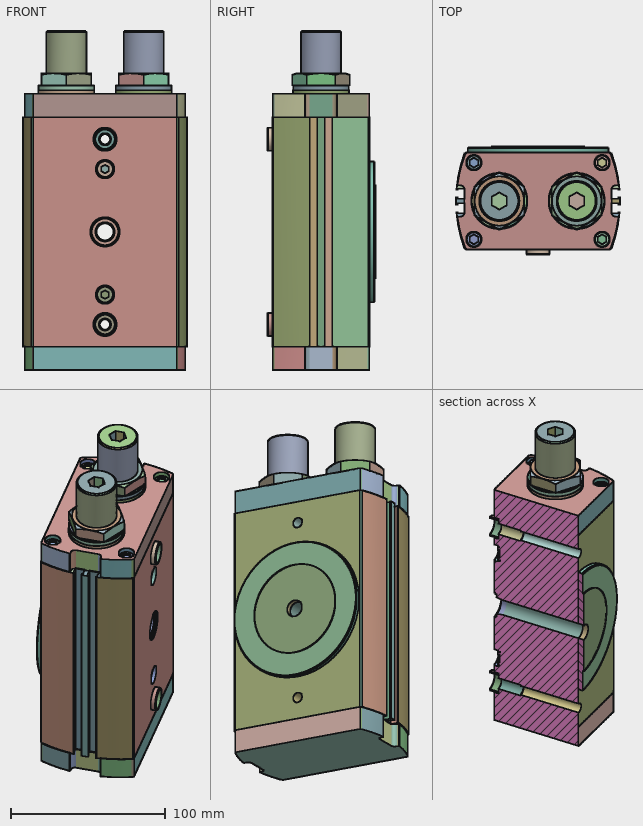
import cadquery as cq
import math


HOUSING_HEIGHT = 178.5
CAP_HEIGHT = 15.0
HALF_WIDTH = 53.0
HALF_DEPTH = 31.3
FACE_HALF_WIDTH = 46.2
BEVEL_WIDTH = 1.3
BODY_BEVEL_DEPTH = 0.7
CAP_BEVEL_DEPTH = 1.3
CAP_SIDE_INSET = 0.5
CAP_FACE_INSET = 0.1
MID_HEIGHT = HOUSING_HEIGHT / 2

CHANNEL_FLOOR_X = 47.5
SLOT_FLOOR_X = 46.8
SLOT_MOUTH_WIDTH = 14.7
SLOT_WIDTH = 15.8
RIB_HEAD_WIDTH = 4.5
RIB_STEM_WIDTH = 3.0
LIP_THICKNESS = 1.0
CAP_CHANNEL_WIDTH = 20.1
CAP_CHANNEL_FILLET = 2.6
CAP_MOUTH_X = 51.5

CUT_CLEARANCE = 2.2

CAP_SCREW_X = 41.4
CAP_SCREW_Y = 24.7
CAP_SCREW_BORE = 10.0
CAP_SCREW_HEAD = 9.0
CAP_SCREW_HEX = 5.5

ROD_X = 25.0
ROD_TOP = 219.0
ROD_DIAMETER = 26.0
ROD_CHAMFER = 0.9
ROD_HEX = 9.6
ROD_HEX_DEPTH = 8.8
LOWER_WASHER_DIAMETER = 36.3
UPPER_WASHER_DIAMETER = 36.1
WASHER_SEAM_Z = 180.5
WASHER_TOP = 183.7
WASHER_CHAMFER = 0.33
NUT_FLATS = 32.2
NUT_TOP = 191.5
NUT_CHAMFER_HEIGHT = 1.0
NUT_FACE_DIAMETER = 31.7

SLEEVE_OFFSET_Z = 59.8
SLEEVE_OUTER = 15.0
SLEEVE_INNER = 12.5
SLEEVE_PROTRUSION = 3.3
SLEEVE_SEAT_DEPTH = 3.3
SLEEVE_CHAMFER = 0.5
MOUNT_THREAD = 7.9
MOUNT_HOLE = 6.5
MOUNT_THREAD_DEPTH = 19.7

FRONT_SCREW_OFFSET_Z = 40.5
FRONT_SCREW_MOUTH = 12.0
FRONT_SCREW_BORE = 10.5
FRONT_SCREW_HEAD = 10.0
FRONT_SCREW_HEX = 4.8

SCREW_BORE_DEPTH = 4.4
SCREW_HEAD_HEIGHT = 1.8
SCREW_HEX_DEPTH = 1.3

CENTRE_MOUTH = 19.0
CENTRE_MOUTH_DEPTH = 0.9
CENTRE_SEAT = 17.0
CENTRE_SEAT_DEPTH = 1.8
CENTRE_TAPER_MOUTH = 12.5
CENTRE_TAPER_LENGTH = 4.4
CENTRE_BORE = 11.0

FLANGE_DIAMETER = 91.0
FLANGE_THICKNESS = 3.3
FLANGE_CHAMFER = 0.7
FLANGE_PAD_DIAMETER = 60.0
FLANGE_PAD_THICKNESS = 0.7

FRONT_Y = -HALF_DEPTH
REAR_Y = HALF_DEPTH


def bulged_prism(side_x, depth, corner_x, bevel_depth, bottom, height):
    """Prism with flat front and rear, sides bulging out to side_x and bevelled corners."""
    corner_y = depth - bevel_depth
    return (
        cq.Workplane("XY", origin=(0, 0, bottom))
        .moveTo(-FACE_HALF_WIDTH, -depth)
        .lineTo(FACE_HALF_WIDTH, -depth)
        .lineTo(corner_x, -corner_y)
        .threePointArc((side_x, 0), (corner_x, corner_y))
        .lineTo(FACE_HALF_WIDTH, depth)
        .lineTo(-FACE_HALF_WIDTH, depth)
        .lineTo(-corner_x, corner_y)
        .threePointArc((-side_x, 0), (-corner_x, -corner_y))
        .close()
        .extrude(height)
    )


def side_block(side, inner_x, outer_x, width, bottom, height):
    """Block centred on Y = 0 between two distances from the middle, on the given side in X."""
    return (
        cq.Workplane("XY", origin=(side * (inner_x + outer_x) / 2, 0, bottom))
        .rect(outer_x - inner_x, width)
        .extrude(height)
    )


def cap_channel(side, bottom):
    """Channel through a cap with rounded floor corners and a flared mouth."""
    half_width = CAP_CHANNEL_WIDTH / 2
    outer_x = HALF_WIDTH + CUT_CLEARANCE
    flare_half_width = half_width + outer_x - CAP_MOUTH_X
    channel = side_block(side, CHANNEL_FLOOR_X, outer_x, CAP_CHANNEL_WIDTH, bottom, CAP_HEIGHT)
    channel = channel.edges("|Z and <X" if side > 0 else "|Z and >X").fillet(CAP_CHANNEL_FILLET)
    flare = (
        cq.Workplane("XY", origin=(0, 0, bottom))
        .polyline([
            (side * CAP_MOUTH_X, -half_width),
            (side * CAP_MOUTH_X, half_width),
            (side * outer_x, flare_half_width),
            (side * outer_x, -flare_half_width),
        ])
        .close()
        .extrude(CAP_HEIGHT)
    )
    return channel.union(flare)


def front_disc(diameter, z, start_depth, end_depth):
    """Cylinder along Y between two depths behind the front face."""
    return (
        cq.Workplane("XZ", origin=(0, FRONT_Y + start_depth, z))
        .circle(diameter / 2)
        .extrude(start_depth - end_depth)
    )


def hexagon(plane, flats, height):
    """Hexagonal prism of a given width across flats, corners pointing along the plane's Y."""
    corners = flats / math.cos(math.pi / 6)
    return plane.transformed(rotate=(0, 0, 90)).polygon(6, corners).extrude(height)


def body_slot(side, height):
    """Undercut slot along one side of the body, leaving a T-shaped rib in its middle."""
    lip_x = HALF_WIDTH - LIP_THICKNESS
    outer_x = HALF_WIDTH + CUT_CLEARANCE
    bottom = CAP_HEIGHT
    mouth = side_block(side, SLOT_FLOOR_X, outer_x, SLOT_MOUTH_WIDTH, bottom, height)
    undercut = side_block(side, SLOT_FLOOR_X, lip_x, SLOT_WIDTH, bottom, height)
    stem = side_block(side, SLOT_FLOOR_X, outer_x, RIB_STEM_WIDTH, bottom, height)
    head = side_block(side, lip_x, outer_x, RIB_HEAD_WIDTH, bottom, height)
    return mouth.union(undercut).cut(stem).cut(head)


def make_shell():
    """Body and two end caps with their side channels."""
    body_height = HOUSING_HEIGHT - 2 * CAP_HEIGHT
    body_corner_x = FACE_HALF_WIDTH + BEVEL_WIDTH
    cap_side_x = HALF_WIDTH - CAP_SIDE_INSET
    cap_depth = HALF_DEPTH - CAP_FACE_INSET
    cap_corner_x = body_corner_x - CAP_SIDE_INSET
    shell = bulged_prism(HALF_WIDTH, HALF_DEPTH, body_corner_x, BODY_BEVEL_DEPTH, CAP_HEIGHT, body_height)
    for side in (-1, 1):
        shell = shell.cut(body_slot(side, body_height))
    for bottom in (0, HOUSING_HEIGHT - CAP_HEIGHT):
        cap = bulged_prism(cap_side_x, cap_depth, cap_corner_x, CAP_BEVEL_DEPTH, bottom, CAP_HEIGHT)
        for side in (-1, 1):
            cap = cap.cut(cap_channel(side, bottom))
        shell = shell.union(cap)
    return shell


def add_cap_screw(housing, x, y):
    """Sunk hexagon socket screw in the top face."""
    floor_z = HOUSING_HEIGHT - SCREW_BORE_DEPTH
    head_z = floor_z + SCREW_HEAD_HEIGHT
    floor = cq.Workplane("XY", origin=(x, y, floor_z))
    socket_floor = cq.Workplane("XY", origin=(x, y, head_z - SCREW_HEX_DEPTH))
    bore = floor.circle(CAP_SCREW_BORE / 2).extrude(SCREW_BORE_DEPTH)
    head = floor.circle(CAP_SCREW_HEAD / 2).extrude(SCREW_HEAD_HEIGHT)
    socket = hexagon(socket_floor, CAP_SCREW_HEX, SCREW_HEX_DEPTH)
    return housing.cut(bore.cut(head)).cut(socket)


def add_front_screw(housing, z):
    """Sunk hexagon socket screw in the front face, with a widened mouth."""
    head_depth = SCREW_BORE_DEPTH - SCREW_HEAD_HEIGHT
    head_plane = cq.Workplane("XZ", origin=(0, FRONT_Y + head_depth, z))
    bore = front_disc(FRONT_SCREW_BORE, z, 0, SCREW_BORE_DEPTH)
    head = front_disc(FRONT_SCREW_HEAD, z, head_depth, SCREW_BORE_DEPTH)
    mouth = front_disc(FRONT_SCREW_MOUTH, z, 0, head_depth)
    socket = hexagon(head_plane, FRONT_SCREW_HEX, -SCREW_HEX_DEPTH)
    return housing.cut(bore.cut(head)).cut(mouth).cut(socket)


def cut_mounting_hole(housing, z):
    """Sleeve seat, thread and through hole."""
    seat = front_disc(SLEEVE_OUTER, z, 0, SLEEVE_SEAT_DEPTH)
    thread = front_disc(MOUNT_THREAD, z, 0, MOUNT_THREAD_DEPTH)
    hole = front_disc(MOUNT_HOLE, z, 0, 2 * HALF_DEPTH)
    return housing.cut(seat).cut(thread).cut(hole)


def cut_centre_hole(housing):
    """Central passage: shallow mouth, seat, taper and through bore."""
    mouth = front_disc(CENTRE_MOUTH, MID_HEIGHT, 0, CENTRE_MOUTH_DEPTH)
    seat = front_disc(CENTRE_SEAT, MID_HEIGHT, 0, CENTRE_SEAT_DEPTH)
    taper = cq.Workplane(
        cq.Solid.makeCone(
            CENTRE_TAPER_MOUTH / 2,
            CENTRE_BORE / 2,
            CENTRE_TAPER_LENGTH,
            cq.Vector(0, FRONT_Y + CENTRE_SEAT_DEPTH, MID_HEIGHT),
            cq.Vector(0, 1, 0),
        )
    )
    bore = front_disc(CENTRE_BORE, MID_HEIGHT, 0, 2 * HALF_DEPTH)
    return housing.cut(mouth).cut(seat).cut(taper).cut(bore)


def make_nut(x):
    """Hexagonal nut with its upper corners turned off."""
    height = NUT_TOP - WASHER_TOP
    corners = NUT_FLATS / math.cos(math.pi / 6)
    base = cq.Workplane("XY", origin=(x, 0, WASHER_TOP))
    blank = base.circle(corners / 2).extrude(height)
    blank = blank.faces(">Z").chamfer(NUT_CHAMFER_HEIGHT, (corners - NUT_FACE_DIAMETER) / 2)
    return hexagon(base, NUT_FLATS, height).intersect(blank)


def make_stop_rod(x):
    """Stop rod with its two washers, lock nut and hexagon socket."""
    lower_washer = (
        cq.Workplane("XY", origin=(x, 0, HOUSING_HEIGHT))
        .circle(LOWER_WASHER_DIAMETER / 2)
        .extrude(WASHER_SEAM_Z - HOUSING_HEIGHT)
    )
    upper_washer = (
        cq.Workplane("XY", origin=(x, 0, WASHER_SEAM_Z))
        .circle(UPPER_WASHER_DIAMETER / 2)
        .extrude(WASHER_TOP - WASHER_SEAM_Z)
        .faces(">Z")
        .chamfer(WASHER_CHAMFER)
    )
    rod = (
        cq.Workplane("XY", origin=(x, 0, HOUSING_HEIGHT))
        .circle(ROD_DIAMETER / 2)
        .extrude(ROD_TOP - HOUSING_HEIGHT)
        .faces(">Z")
        .chamfer(ROD_CHAMFER)
    )
    socket = hexagon(cq.Workplane("XY", origin=(x, 0, ROD_TOP - ROD_HEX_DEPTH)), ROD_HEX, ROD_HEX_DEPTH)
    return lower_washer.union(upper_washer).union(make_nut(x)).union(rod).cut(socket)


def make_housing():
    """Housing with its end caps, screws, holes and stop rods."""
    housing = make_shell()
    for side in (-1, 1):
        for end in (-1, 1):
            housing = add_cap_screw(housing, side * CAP_SCREW_X, end * CAP_SCREW_Y)
        housing = add_front_screw(housing, MID_HEIGHT + side * FRONT_SCREW_OFFSET_Z)
        housing = cut_mounting_hole(housing, MID_HEIGHT + side * SLEEVE_OFFSET_Z)
        housing = housing.union(make_stop_rod(side * ROD_X))
    return cut_centre_hole(housing)


def make_sleeve(z):
    """Centring sleeve seated in the front face and standing proud of it."""
    return (
        front_disc(SLEEVE_OUTER, z, -SLEEVE_PROTRUSION, SLEEVE_SEAT_DEPTH)
        .faces("<Y")
        .chamfer(SLEEVE_CHAMFER)
        .cut(front_disc(SLEEVE_INNER, z, -SLEEVE_PROTRUSION, SLEEVE_SEAT_DEPTH))
    )


def make_flange():
    """Turning flange with a raised central pad and a through bore."""
    plane = cq.Workplane("XZ", origin=(0, REAR_Y, MID_HEIGHT))
    thickness = FLANGE_THICKNESS + FLANGE_PAD_THICKNESS
    disc = plane.circle(FLANGE_DIAMETER / 2).extrude(-FLANGE_THICKNESS)
    disc = disc.faces(">Y").chamfer(FLANGE_CHAMFER)
    pad = plane.circle(FLANGE_PAD_DIAMETER / 2).extrude(-thickness)
    bore = plane.circle(CENTRE_BORE / 2).extrude(-thickness)
    return disc.union(pad).cut(bore)


housing = make_housing()
flange = make_flange()
sleeves = [make_sleeve(MID_HEIGHT + side * SLEEVE_OFFSET_Z) for side in (-1, 1)]

result = cq.Compound.makeCompound(
    [housing.val(), flange.val(), *[sleeve.val() for sleeve in sleeves]]
)